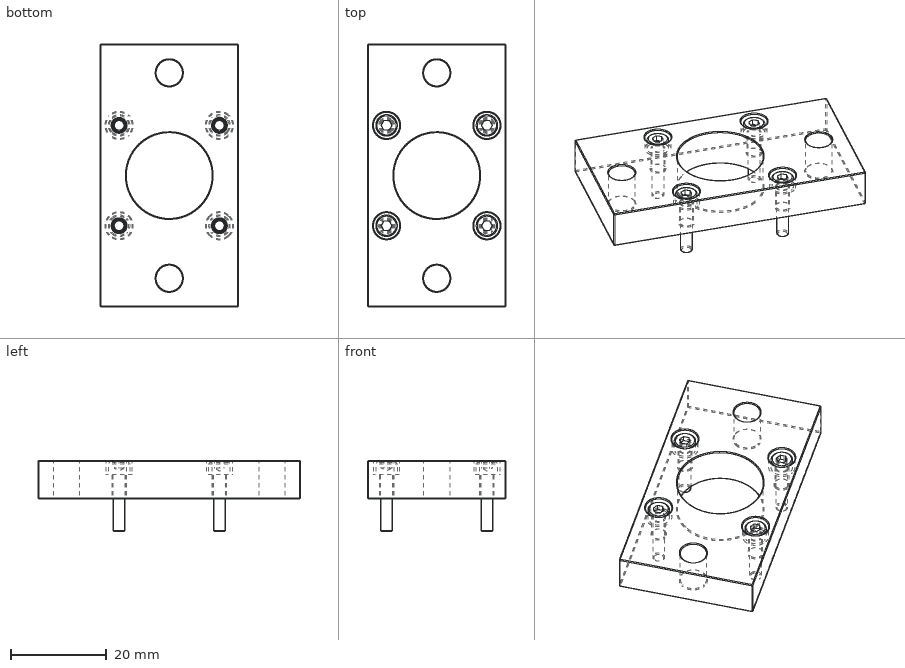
import cadquery as cq
import math

plate_width = 29.0
plate_length = 55
plate_height = 8.05
edge_chamfer = 0.2

bore_diameter = 18.0
mount_hole_diameter = 5.5
mount_hole_spacing = 43.0

screw_spacing = 21.0
counterbore_diameter = 5.5
counterbore_depth = 2.9
clearance_diameter = 2.9

overall_height = 14.9
shank_diameter = 2.5
shank_chamfer = 0.2
head_diameter = 4.5
head_height = 2.5
head_chamfer = 0.25
socket_flats = 2.0
socket_depth = 1.1
socket_tip_angle = 120

socket_corners = socket_flats / math.cos(math.pi / 6)
socket_tip_depth = socket_corners / 2 / math.tan(math.radians(socket_tip_angle / 2))

mount_points = [(0, -mount_hole_spacing / 2), (0, mount_hole_spacing / 2)]
screw_points = [
    (x_side * screw_spacing / 2, y_side * screw_spacing / 2)
    for x_side in (-1, 1)
    for y_side in (-1, 1)
]


def rod(diameter, bottom, top):
    """Upright cylinder on the Z axis between two heights."""
    return cq.Workplane("XY").workplane(offset=bottom).circle(diameter / 2).extrude(top - bottom)


def make_plate():
    """Rectangular plate with all holes cut and its outer and hole edges chamfered."""
    plate = cq.Workplane("XY").box(
        plate_width, plate_length, plate_height, centered=(True, True, False)
    )
    plate = plate.translate((0, 0, -plate_height)).edges().chamfer(edge_chamfer)

    plate = plate.faces(">Z").workplane(origin=(0, 0, 0)).hole(bore_diameter)
    plate = (
        plate.faces(">Z").workplane(origin=(0, 0, 0)).pushPoints(mount_points)
        .hole(mount_hole_diameter)
    )
    plate = (
        plate.faces(">Z").workplane(origin=(0, 0, 0)).pushPoints(screw_points)
        .cboreHole(clearance_diameter, counterbore_diameter, counterbore_depth)
    )
    return plate.faces("<Z or >Z").edges("%CIRCLE").chamfer(edge_chamfer)


def make_socket(head_top):
    """Hexagonal socket with flats facing +Y and -Y and a conical bottom."""
    total_depth = socket_depth + socket_tip_depth
    radius = socket_corners / 2
    hexagon = (
        cq.Workplane("XY").workplane(offset=head_top)
        .polygon(6, socket_corners).extrude(-total_depth)
    )
    drill = (
        cq.Workplane("XZ")
        .moveTo(0, head_top)
        .lineTo(radius, head_top)
        .lineTo(radius, head_top - socket_depth)
        .lineTo(0, head_top - total_depth)
        .close()
        .revolve(360, (0, 0, 0), (0, 1, 0))
    )
    return hexagon.intersect(drill)


def make_screw():
    """Cap screw on the Z axis, its head resting on the counterbore floor."""
    seat = -counterbore_depth
    head_top = seat + head_height
    head = rod(head_diameter, seat, head_top).faces(">Z").edges().chamfer(head_chamfer)
    shank = rod(shank_diameter, -overall_height, seat).faces("<Z").edges().chamfer(shank_chamfer)
    return head.union(shank).cut(make_socket(head_top))


result = make_plate()
screw = make_screw()
for x, y in screw_points:
    result = result.union(screw.translate((x, y, 0)))